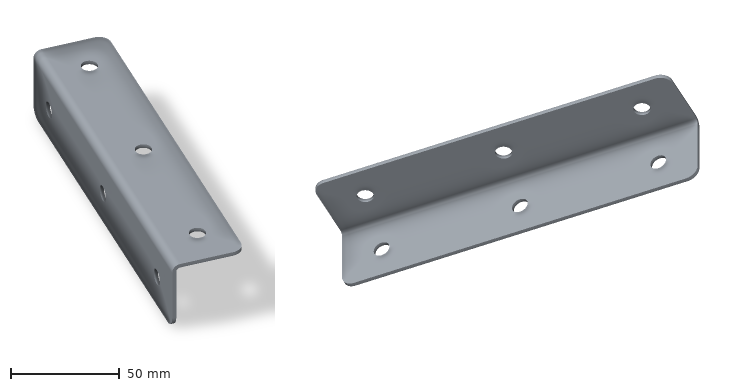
import cadquery as cq

length = 180.0
leg = 36.0
thickness = 2.0
bend_radius = 4.0
corner_radius = 6.0
hole_diameter = 8.0
hole_spacing = 70.0
hole_from_bend = 20.0

hole_offsets = [-hole_spacing, 0, hole_spacing]


def angle_blank():
    """L-shaped sheet: one leg back along +Y, one leg down along -Z, rounded bend."""
    outer = cq.Workplane("XY").box(length, leg, leg, centered=(True, False, False))
    outer = outer.translate((0, 0, -leg)).edges("<Y and >Z").fillet(bend_radius)
    inner = cq.Workplane("XY").box(length, leg, leg, centered=(True, False, False))
    inner = inner.translate((0, thickness, -leg - thickness))
    inner = inner.edges("<Y and >Z").fillet(bend_radius - thickness)
    return outer.cut(inner)


def round_free_corners(body):
    """Round the two outer corners at the free end of each leg."""
    body = body.faces(">Y").edges("|Z").fillet(corner_radius)
    return body.faces("<Z").edges("|Y").fillet(corner_radius)


def hole_row(plane, row_position):
    """Row of cylinders along X, long enough to pass through one leg."""
    centres = [(x, row_position) for x in hole_offsets]
    row = cq.Workplane(plane).pushPoints(centres).circle(hole_diameter / 2)
    return row.extrude(-2 * thickness)


top_holes = hole_row("XY", hole_from_bend)
front_holes = hole_row("XZ", -hole_from_bend)

result = round_free_corners(angle_blank()).cut(top_holes).cut(front_holes)